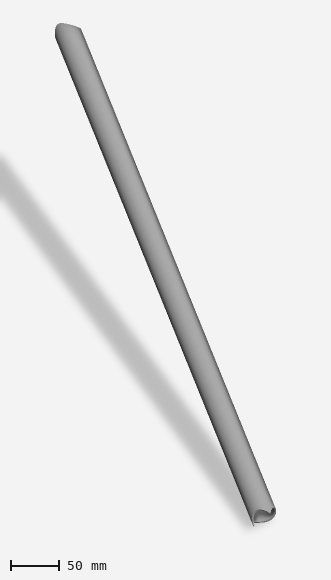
import cadquery as cq
import math

outer_radius = 14.0
wall = 1.5
inner_radius = outer_radius - wall

axis_run_x = 643.1
axis_run_y = -12.8
axis_run_z = -180.5
axis_vector = cq.Vector(axis_run_x, axis_run_y, axis_run_z)
axis_length = axis_vector.Length

crossing_radius = 15.0
crossing_turn = 45.0
far_crossing_offset = 7.0

brace_radius = 14.0
brace_angle = 65.0
brace_meeting = 8.0

tool_length = 120.0


def split_rod(radius, length):
    """Round rod along Z whose skin is two half faces that meet at the top and the bottom."""
    return (
        cq.Workplane("XY")
        .moveTo(0, -radius)
        .threePointArc((radius, 0), (0, radius))
        .threePointArc((-radius, 0), (0, -radius))
        .close()
        .extrude(length, clean=False)
    )


def cutting_cylinder(radius, start, direction):
    return cq.Workplane(obj=cq.Solid.makeCylinder(radius, tool_length, start, direction))


turn = math.radians(crossing_turn)
along_crossing = cq.Vector(math.cos(turn), math.sin(turn), 0)
across_crossing = cq.Vector(-math.sin(turn), math.cos(turn), 0)
along_strut = cq.Vector(0, 0, 1)


def crossing_tube(position, offset):
    centre = along_strut * position + across_crossing * offset
    start = centre - along_crossing * (tool_length / 2)
    return cutting_cylinder(crossing_radius, start, along_crossing)


def brace():
    lean = math.radians(brace_angle)
    direction = across_crossing * math.sin(lean) - along_strut * math.cos(lean)
    start = along_strut * (axis_length + brace_meeting)
    return cutting_cylinder(brace_radius, start, direction)


bore = cq.Workplane("XY").circle(inner_radius).extrude(axis_length)
tube = split_rod(outer_radius, axis_length).cut(bore, clean=False)
coped = (
    tube.cut(crossing_tube(0, 0), clean=False)
    .cut(crossing_tube(axis_length, -far_crossing_offset), clean=False)
    .cut(brace(), clean=False)
)
strut = max(coped.solids().vals(), key=lambda piece: piece.Volume())

level_side = cq.Vector(0, 0, 1).cross(axis_vector)
strut_plane = cq.Plane(origin=(0, 0, 0), xDir=level_side, normal=axis_vector)
result = cq.Workplane(obj=strut.moved(cq.Location(strut_plane)))